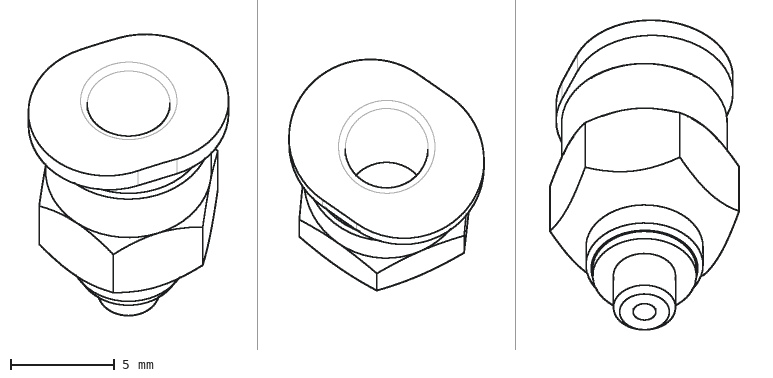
import cadquery as cq
import math

STUB_TOP = 2.5
GASKET_TOP = 3.0
COLLAR_TOP = 4.5
HEX_TOP = 10.0
SLEEVE_TOP = 13.3
NECK_TOP = 14.2
OVERALL_HEIGHT = 15.7

STUB_DIAMETER = 3.0
GASKET_DIAMETER = 5.0
COLLAR_DIAMETER = 5.65
SLEEVE_DIAMETER = 8.0
NECK_DIAMETER = 5.4

STUB_CHAMFER = 0.3
COLLAR_CHAMFER = 0.25
SLEEVE_CHAMFER = 0.2

HEX_ACROSS_FLATS = SLEEVE_DIAMETER
HEX_ACROSS_CORNERS = HEX_ACROSS_FLATS / math.cos(math.radians(30))

BUTTON_WIDTH = 7.8
BUTTON_LENGTH = 9.8
BUTTON_SLOPE = math.radians(10)
RIM_RADIUS = 0.28

BORE_DIAMETER = 4.0
BORE_DEPTH = 10.0
PASSAGE_DIAMETER = 1.1


def cylinder(diameter, bottom, top):
    """Upright cylinder on the Z axis between two heights."""
    return cq.Workplane("XY").workplane(offset=bottom).circle(diameter / 2).extrude(top - bottom)


def make_stem():
    """Stub, gasket and collar below the hexagon."""
    stub = cylinder(STUB_DIAMETER, 0, STUB_TOP).faces("<Z").chamfer(STUB_CHAMFER)
    gasket = cylinder(GASKET_DIAMETER, STUB_TOP, GASKET_TOP)
    collar = cylinder(COLLAR_DIAMETER, GASKET_TOP, COLLAR_TOP).faces("<Z").chamfer(COLLAR_CHAMFER)
    return stub.union(gasket).union(collar)


def make_hexagon():
    """Hexagon trimmed by 45 degree cones at both ends."""
    prism = (
        cq.Workplane("XY")
        .workplane(offset=COLLAR_TOP)
        .transformed(rotate=(0, 0, 90))
        .polygon(6, HEX_ACROSS_CORNERS)
        .extrude(HEX_TOP - COLLAR_TOP)
    )
    collar_radius = COLLAR_DIAMETER / 2
    sleeve_radius = SLEEVE_DIAMETER / 2
    corner_radius = HEX_ACROSS_CORNERS / 2
    trimming_cones = (
        cq.Workplane("XZ")
        .moveTo(0, COLLAR_TOP)
        .lineTo(collar_radius, COLLAR_TOP)
        .lineTo(corner_radius, COLLAR_TOP + corner_radius - collar_radius)
        .lineTo(corner_radius, HEX_TOP - (corner_radius - sleeve_radius))
        .lineTo(sleeve_radius, HEX_TOP)
        .lineTo(0, HEX_TOP)
        .close()
        .revolve(360, (0, 0), (0, 1))
    )
    return prism.intersect(trimming_cones)


def make_sleeve():
    """Round sleeve above the hexagon and the narrower neck under the button."""
    sleeve = cylinder(SLEEVE_DIAMETER, HEX_TOP, SLEEVE_TOP).faces(">Z").chamfer(SLEEVE_CHAMFER)
    return sleeve.union(cylinder(NECK_DIAMETER, SLEEVE_TOP, NECK_TOP))


def make_button():
    """Oblong button with a shallow conical top and a rounded bore mouth."""
    oblong = (
        cq.Workplane("XY")
        .workplane(offset=NECK_TOP)
        .slot2D(BUTTON_LENGTH, BUTTON_WIDTH, 90)
        .extrude(OVERALL_HEIGHT - NECK_TOP)
    )
    bore_radius = BORE_DIAMETER / 2
    outer_radius = BUTTON_LENGTH / 2
    rim_center_r = bore_radius + RIM_RADIUS
    rim_center_z = OVERALL_HEIGHT - RIM_RADIUS

    def rim_point(angle):
        """Point on the rim arc, with the angle measured from the outward direction."""
        return (
            rim_center_r + RIM_RADIUS * math.cos(angle),
            rim_center_z + RIM_RADIUS * math.sin(angle),
        )

    rim_start = math.pi
    rim_end = math.pi / 2 - BUTTON_SLOPE
    rim_end_r, rim_end_z = rim_point(rim_end)
    outer_z = rim_end_z - (outer_radius - rim_end_r) * math.tan(BUTTON_SLOPE)
    crown = (
        cq.Workplane("XZ")
        .moveTo(bore_radius, NECK_TOP)
        .lineTo(*rim_point(rim_start))
        .threePointArc(rim_point((rim_start + rim_end) / 2), (rim_end_r, rim_end_z))
        .lineTo(outer_radius, outer_z)
        .lineTo(outer_radius, NECK_TOP)
        .close()
        .revolve(360, (0, 0), (0, 1))
    )
    return oblong.intersect(crown)


def make_bore():
    """Blind tube bore and the small passage running through the whole part."""
    bore = cylinder(BORE_DIAMETER, OVERALL_HEIGHT - BORE_DEPTH, OVERALL_HEIGHT)
    return bore.union(cylinder(PASSAGE_DIAMETER, 0, OVERALL_HEIGHT))


body = make_stem().union(make_hexagon()).union(make_sleeve()).union(make_button())
result = body.cut(make_bore())